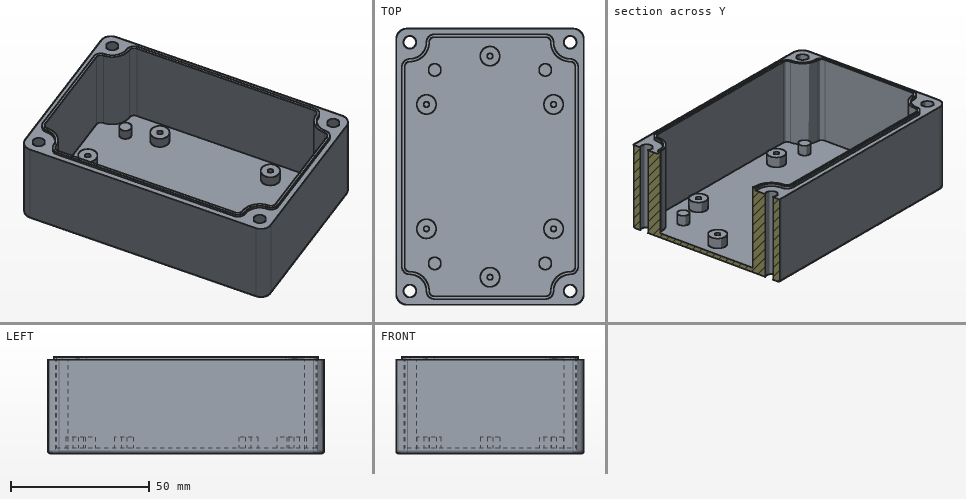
import cadquery as cq

length = 100.0
width = 68.0
total_height = 35.0
corner_radius = 4.0
bottom_fillet = 1.0
floor_thickness = 2.0

lip_height = 1.0
lip_inset = 2.1
lip_thickness = 1.0
rim_height = total_height - lip_height

screw_x = 29.0
screw_y = 45.0
screw_diameter = 4.5
lip_scallop_radius = 6.0

boss_diameter = 7.0
boss_height = 4.0
boss_hole_diameter = 2.0
boss_hole_depth = boss_height
side_boss_x = 23.0
side_boss_y = 22.5
end_boss_y = 40.0
pin_diameter = 4.5
pin_height = 4.0
pin_x = 20.0
pin_y = 35.0


def four_corners(x, y):
    """Points mirrored into all four quadrants."""
    return [(sx * x, sy * y) for sx in (-1, 1) for sy in (-1, 1)]


def scalloped_block(inset, bottom, top):
    """Rectangular block scooped around the screws, with its corners rounded into the scoops."""
    half_width = width / 2 - inset
    half_length = length / 2 - inset
    scallop_radius = lip_scallop_radius + inset - lip_inset
    edge_radius = half_length - screw_y
    height = top - bottom
    block = cq.Workplane("XY").workplane(offset=bottom).rect(2 * half_width, 2 * half_length).extrude(height)
    for sx, sy in four_corners(1, 1):
        corner_cut = (
            cq.Workplane("XY")
            .workplane(offset=bottom)
            .moveTo(sx * half_width, sy * half_length)
            .lineTo(sx * (screw_x - scallop_radius - edge_radius), sy * half_length)
            .radiusArc((sx * (screw_x - scallop_radius), sy * screw_y), sx * sy * edge_radius)
            .radiusArc((sx * screw_x, sy * (screw_y - scallop_radius)), -sx * sy * scallop_radius)
            .radiusArc((sx * half_width, sy * (screw_y - scallop_radius - edge_radius)), sx * sy * edge_radius)
            .close()
            .extrude(height)
        )
        block = block.cut(corner_cut)
    return block


def floor_posts(points, diameter, height):
    """Round posts standing on the cavity floor."""
    return (
        cq.Workplane("XY")
        .workplane(offset=floor_thickness)
        .pushPoints(points)
        .circle(diameter / 2)
        .extrude(height)
    )


body = cq.Workplane("XY").rect(width, length).extrude(rim_height)
body = body.edges("|Z").fillet(corner_radius)
body = body.faces("<Z").edges().fillet(bottom_fillet)
lip = scalloped_block(lip_inset, floor_thickness, total_height)
cavity = scalloped_block(lip_inset + lip_thickness, floor_thickness, total_height)
box = body.union(lip).cut(cavity)

screw_holes = (
    cq.Workplane("XY")
    .pushPoints(four_corners(screw_x, screw_y))
    .circle(screw_diameter / 2)
    .extrude(total_height)
)
box = box.cut(screw_holes)

boss_points = four_corners(side_boss_x, side_boss_y) + [(0, -end_boss_y), (0, end_boss_y)]
box = box.union(floor_posts(boss_points, boss_diameter, boss_height))
box = box.cut(floor_posts(boss_points, boss_hole_diameter, boss_hole_depth))
box = box.union(floor_posts(four_corners(pin_x, pin_y), pin_diameter, pin_height))

result = box